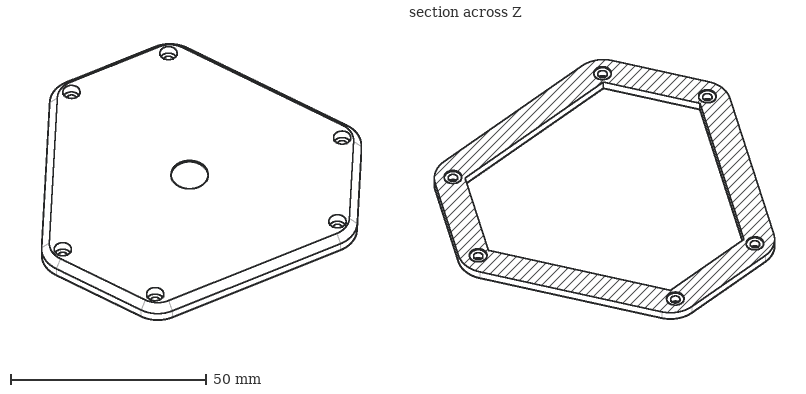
import cadquery as cq
import math

plate_depth = 80.41
far_side_distance = 43.5
near_side_distance = plate_depth - far_side_distance
corner_radius = 8.0
plate_thickness = 4.6
edge_chamfer = 2.0

skin_thickness = 0.6
rim_width = corner_radius

center_hole_diameter = 9.5

screw_circle_radius = 40.97
screw_angle_from_x = 10.0
screw_hole_diameter = 2.4
counterbore_diameter = 4.4
screw_seat_thickness = 2.0

symmetry_turn = 120.0
normal_step = symmetry_turn / 2
first_near_side_angle = 90.0
near_side_angles = [first_near_side_angle + turn * symmetry_turn for turn in range(3)]
screw_angle_offset = screw_angle_from_x + symmetry_turn - first_near_side_angle


def polar_point(radius, angle):
    """Point at a radius and an angle in degrees from the plate centre."""
    radians = math.radians(angle)
    return (radius * math.cos(radians), radius * math.sin(radians))


def hexagon_points(inset):
    """Corners of the six-sided outline with every side moved inward by inset."""
    near = near_side_distance - inset
    far = far_side_distance - inset
    step = math.radians(normal_step)
    half_length = (far - near * math.cos(step)) / math.sin(step)
    corner_distance = math.hypot(near, half_length)
    corner_angle = math.degrees(math.atan2(half_length, near))
    return [
        polar_point(corner_distance, side_angle + side * corner_angle)
        for side_angle in near_side_angles
        for side in (-1, 1)
    ]


def make_plate():
    """Solid plate with rounded corners and a chamfered top edge."""
    plate = cq.Workplane("XY").polyline(hexagon_points(0)).close().extrude(plate_thickness)
    plate = plate.edges("|Z").fillet(corner_radius)
    return plate.faces(">Z").chamfer(edge_chamfer)


def make_pocket():
    """Space hollowed out of the underside, inside the screw holes."""
    pocket_depth = plate_thickness - skin_thickness
    return cq.Workplane("XY").polyline(hexagon_points(rim_width)).close().extrude(pocket_depth)


def make_center_hole():
    return cq.Workplane("XY").circle(center_hole_diameter / 2).extrude(plate_thickness)


def make_screw_holes():
    """Through holes with counterbores open to the top face."""
    screw_points = [
        polar_point(screw_circle_radius, side_angle + side * screw_angle_offset)
        for side_angle in near_side_angles
        for side in (-1, 1)
    ]
    holes = (
        cq.Workplane("XY")
        .pushPoints(screw_points)
        .circle(screw_hole_diameter / 2)
        .extrude(plate_thickness)
    )
    counterbores = (
        cq.Workplane("XY", origin=(0, 0, screw_seat_thickness))
        .pushPoints(screw_points)
        .circle(counterbore_diameter / 2)
        .extrude(plate_thickness - screw_seat_thickness)
    )
    return holes.union(counterbores)


result = (
    make_plate()
    .cut(make_pocket())
    .cut(make_center_hole())
    .cut(make_screw_holes())
)